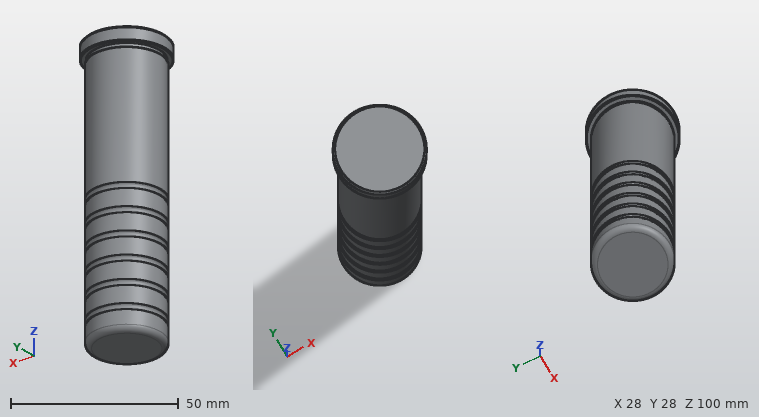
import cadquery as cq

total_height = 100.0
body_radius = 12.5
bottom_fillet = 2.0
shaft_top_chamfer = 0.3

head_radius = 14.0
head_height = 5.0
head_top_chamfer = 0.7
head_bottom_chamfer = 0.3
neck_radius = 12.2
neck_height = 1.2

groove_count = 6
groove_pitch = 8.0
groove_width = 2.0
groove_depth = 0.6


def make_body():
    """Shaft with a rounded lower end and a chamfered upper rim."""
    shaft = cq.Workplane("XY").circle(body_radius).extrude(total_height - head_height - neck_height)
    shaft = shaft.faces("<Z").edges().fillet(bottom_fillet)
    return shaft.faces(">Z").edges().chamfer(shaft_top_chamfer)


def make_neck():
    """Narrower relief between shaft and head."""
    base = total_height - head_height - neck_height
    return cq.Workplane("XY").workplane(offset=base).circle(neck_radius).extrude(neck_height)


def make_head():
    """Flanged cap with both rims chamfered."""
    base = total_height - head_height
    head = cq.Workplane("XY").workplane(offset=base).circle(head_radius).extrude(head_height)
    head = head.faces(">Z").edges().chamfer(head_top_chamfer)
    return head.faces("<Z").edges().chamfer(head_bottom_chamfer)


def make_groove(center_height):
    """Ring that cuts one arc-shaped groove around the shaft."""
    half_width = groove_width / 2
    outer_radius = body_radius + groove_width
    return (
        cq.Workplane("XZ")
        .moveTo(outer_radius, center_height - half_width)
        .lineTo(body_radius, center_height - half_width)
        .threePointArc(
            (body_radius - groove_depth, center_height),
            (body_radius, center_height + half_width),
        )
        .lineTo(outer_radius, center_height + half_width)
        .close()
        .revolve(360, (0, 0, 0), (0, 1, 0))
    )


result = make_body().union(make_neck()).union(make_head())
for index in range(groove_count):
    result = result.cut(make_groove(groove_pitch * (index + 1)))